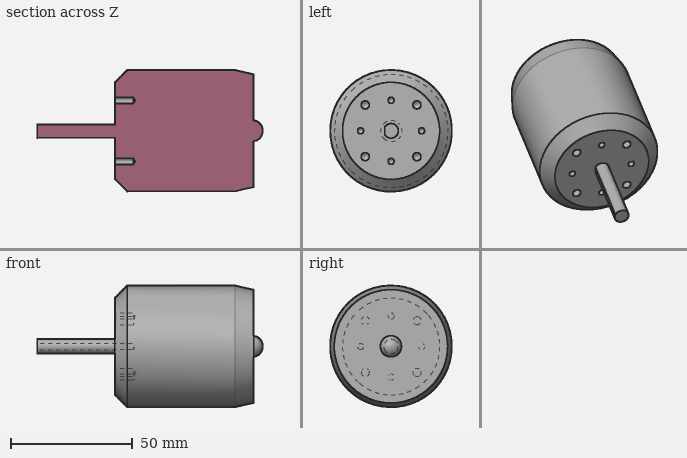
import cadquery as cq
import math

overall_length = 92.9
shaft_length = 32.05
body_length = 57.0
front_chamfer_length = 5.0
rear_taper_length = 7.8
body_front = shaft_length
body_back = body_front + body_length

body_radius = 25.1
front_face_radius = 20.0
rear_face_radius = 23.3

shaft_diameter = 6.0
shaft_radius = shaft_diameter / 2
flat_distance = 2.7

dome_base_radius = 4.4
dome_height = overall_length - body_back

holes_per_circle = 4
hole_depth = 7.4
drill_tip_angle = 118.0
large_hole_diameter = 3.3
large_hole_circle_radius = 15.05
large_hole_start_angle = 45.0
small_hole_diameter = 2.5
small_hole_circle_radius = 12.5
small_hole_start_angle = 0.0


def revolve_about_axis(profile):
    """Turn a closed half profile in the XY plane a full turn about X."""
    return profile.revolve(360, (0, 0, 0), (1, 0, 0))


def make_body():
    """Can with a front chamfer, straight wall, rear taper and domed cap."""
    dome_radius = (dome_base_radius**2 + dome_height**2) / (2 * dome_height)
    mid_dome_x = overall_length - dome_height / 2
    mid_dome_radius = math.sqrt(dome_radius**2 - (dome_radius - dome_height / 2) ** 2)
    profile = (
        cq.Workplane("XY")
        .moveTo(body_front, 0)
        .lineTo(body_front, front_face_radius)
        .lineTo(body_front + front_chamfer_length, body_radius)
        .lineTo(body_back - rear_taper_length, body_radius)
        .lineTo(body_back, rear_face_radius)
        .lineTo(body_back, dome_base_radius)
        .threePointArc((mid_dome_x, mid_dome_radius), (overall_length, 0))
        .close()
    )
    return revolve_about_axis(profile)


def make_shaft():
    """D-shaped shaft with its flat along the whole length, facing +Y."""
    flat_half_width = math.sqrt(shaft_radius**2 - flat_distance**2)
    return (
        cq.Workplane("YZ")
        .moveTo(flat_distance, -flat_half_width)
        .lineTo(flat_distance, flat_half_width)
        .threePointArc((-shaft_radius, 0), (flat_distance, -flat_half_width))
        .close()
        .extrude(shaft_length)
    )


def cut_hole_circle(part, diameter, circle_radius, start_angle):
    """Drill evenly spaced blind holes with conical bottoms into the front face."""
    radius = diameter / 2
    tip_length = radius / math.tan(math.radians(drill_tip_angle / 2))
    profile = (
        cq.Workplane("XY")
        .moveTo(body_front, 0)
        .lineTo(body_front, radius)
        .lineTo(body_front + hole_depth, radius)
        .lineTo(body_front + hole_depth + tip_length, 0)
        .close()
    )
    drill = revolve_about_axis(profile).translate((0, circle_radius, 0))
    for index in range(holes_per_circle):
        angle = start_angle + index * 360 / holes_per_circle
        part = part.cut(drill.rotate((0, 0, 0), (1, 0, 0), angle))
    return part


result = make_body().union(make_shaft())
result = cut_hole_circle(result, large_hole_diameter, large_hole_circle_radius, large_hole_start_angle)
result = cut_hole_circle(result, small_hole_diameter, small_hole_circle_radius, small_hole_start_angle)